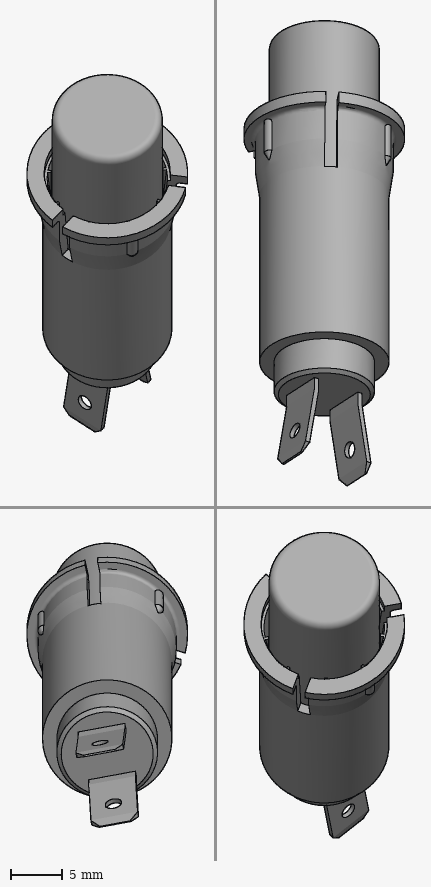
import cadquery as cq
import math

TOP_Z = 46.8
FLANGE_TOP_Z = 37.45
COLLAR_BOTTOM_Z = 32.8
BARREL_TOP_Z = 30.0
BARREL_BOTTOM_Z = 11.8
BASE_BOTTOM_Z = 8.25

CAP_DIAMETER = 10.7
CAP_RADIUS = CAP_DIAMETER / 2
CAP_EDGE_FILLET = 0.7

BARREL_DIAMETER = 12.6
BARREL_RADIUS = BARREL_DIAMETER / 2
COLLAR_DIAMETER = 13.45
COLLAR_RADIUS = COLLAR_DIAMETER / 2
FLANGE_RADIUS = 7.8
FLANGE_THICKNESS = 1.15
FLANGE_BOTTOM_Z = FLANGE_TOP_Z - FLANGE_THICKNESS
FLANGE_FILLET = 0.37
MOUTH_RADIUS = 6.15
MOUTH_DEPTH = 0.95
LEDGE_Z = FLANGE_TOP_Z - MOUTH_DEPTH
BORE_TOP_RADIUS = 5.85

PETAL_COUNT = 3
SLOT_WIDTH = 1.25
FIRST_SLOT_ANGLE = 30
FIRST_OUTER_RIB_ANGLE = 90
OUTER_RIB_RADIUS = 0.6
OUTER_RIB_REACH = 7.05
OUTER_RIB_POINT_HEIGHT = 1.05

INNER_RIB_COUNT = 9
FIRST_INNER_RIB_ANGLE = 90
INNER_RIB_WIDTH = 0.3
INNER_RIB_RADIUS = 5.5

BASE_DIAMETER = 9.8
BASE_RADIUS = BASE_DIAMETER / 2
BASE_CHAMFER_HEIGHT = 0.35
BASE_CHAMFER_WIDTH = 0.4

TERMINAL_INNER_Y = 2.35
TERMINAL_THICKNESS = 0.5
TERMINAL_OUTER_Y = TERMINAL_INNER_Y + TERMINAL_THICKNESS
TERMINAL_WIDTH = 4.65
TERMINAL_TIP_WIDTH = 3.0
TERMINAL_TIP_THICKNESS = 0.15
TERMINAL_TIP_HEIGHT = 0.95
TERMINAL_END_RISE = 0.1
TERMINAL_BEND_Z = 7.0
TERMINAL_SPLAY_ANGLE = 10
TERMINAL_HOLE_DIAMETER = 1.6
TERMINAL_HOLE_Z = 3.15


def angles(first, count):
    """Evenly spaced angles around the Z axis, in degrees."""
    return [first + 360 / count * i for i in range(count)]


def around_z(body, angle):
    return body.rotate((0, 0, 0), (0, 0, 1), angle)


def make_cap():
    height = TOP_Z - BARREL_TOP_Z
    cylinder = cq.Workplane("XY", origin=(0, 0, BARREL_TOP_Z)).circle(CAP_RADIUS).extrude(height)
    return cylinder.faces(">Z").edges().fillet(CAP_EDGE_FILLET)


def make_housing_shell():
    """Solid barrel that widens into a hollow, flanged collar."""
    fillet_radius = COLLAR_RADIUS + FLANGE_FILLET
    fillet_bottom_z = FLANGE_BOTTOM_Z - FLANGE_FILLET
    fillet_mid = (
        fillet_radius - FLANGE_FILLET * math.sqrt(0.5),
        fillet_bottom_z + FLANGE_FILLET * math.sqrt(0.5),
    )
    profile = (
        cq.Workplane("XZ")
        .moveTo(0, BARREL_BOTTOM_Z)
        .lineTo(BARREL_RADIUS, BARREL_BOTTOM_Z)
        .lineTo(BARREL_RADIUS, BARREL_TOP_Z)
        .lineTo(COLLAR_RADIUS, COLLAR_BOTTOM_Z)
        .lineTo(COLLAR_RADIUS, fillet_bottom_z)
        .threePointArc(fillet_mid, (fillet_radius, FLANGE_BOTTOM_Z))
        .lineTo(FLANGE_RADIUS, FLANGE_BOTTOM_Z)
        .lineTo(FLANGE_RADIUS, FLANGE_TOP_Z)
        .lineTo(MOUTH_RADIUS, FLANGE_TOP_Z)
        .lineTo(MOUTH_RADIUS, LEDGE_Z)
        .lineTo(BORE_TOP_RADIUS, LEDGE_Z)
        .lineTo(CAP_RADIUS, BARREL_TOP_Z)
        .lineTo(0, BARREL_TOP_Z)
        .close()
    )
    return profile.revolve(360, (0, 0, 0), (0, 1, 0))


def make_outer_rib():
    """Upright round rod half sunk into the +X side of the collar, with a pointed lower end."""
    axis_x = OUTER_RIB_REACH - OUTER_RIB_RADIUS
    profile = (
        cq.Workplane("XZ", origin=(axis_x, 0, 0))
        .moveTo(0, COLLAR_BOTTOM_Z - OUTER_RIB_POINT_HEIGHT)
        .lineTo(OUTER_RIB_RADIUS, COLLAR_BOTTOM_Z)
        .lineTo(OUTER_RIB_RADIUS, FLANGE_BOTTOM_Z)
        .lineTo(0, FLANGE_BOTTOM_Z)
        .close()
    )
    return profile.revolve(360, (0, 0, 0), (0, 1, 0))


def make_inner_rib():
    """Thin upright rib along +X, reaching from the bore wall towards the cap."""
    height = LEDGE_Z - BARREL_TOP_Z
    length = MOUTH_RADIUS - INNER_RIB_RADIUS
    return cq.Workplane("XY", origin=(INNER_RIB_RADIUS, 0, BARREL_TOP_Z)).box(
        length, INNER_RIB_WIDTH, height, centered=(False, True, False)
    )


def make_slot_cutter():
    height = FLANGE_TOP_Z - BARREL_TOP_Z
    return cq.Workplane("XY", origin=(0, 0, BARREL_TOP_Z)).box(
        FLANGE_RADIUS, SLOT_WIDTH, height, centered=(False, True, False)
    )


def make_housing():
    housing = make_housing_shell()
    for angle in angles(FIRST_OUTER_RIB_ANGLE, PETAL_COUNT):
        housing = housing.union(around_z(make_outer_rib(), angle))
    for angle in angles(FIRST_INNER_RIB_ANGLE, INNER_RIB_COUNT):
        housing = housing.union(around_z(make_inner_rib(), angle))
    for angle in angles(FIRST_SLOT_ANGLE, PETAL_COUNT):
        housing = housing.cut(around_z(make_slot_cutter(), angle))
    return housing


def make_base():
    height = BARREL_BOTTOM_Z - BASE_BOTTOM_Z
    cylinder = cq.Workplane("XY", origin=(0, 0, BASE_BOTTOM_Z)).circle(BASE_RADIUS).extrude(height)
    bottom_edge = cylinder.faces("<Z").edges()
    return bottom_edge.chamfer(BASE_CHAMFER_HEIGHT, BASE_CHAMFER_WIDTH)


def make_terminal():
    """Blade on the +Y side: straight below the base, then splayed outwards to a beveled tip."""
    slope = math.tan(math.radians(TERMINAL_SPLAY_ANGLE))
    splay = slope * (TERMINAL_BEND_Z - TERMINAL_TIP_HEIGHT)
    tip_outer_y = TERMINAL_OUTER_Y + splay
    side = (
        cq.Workplane("YZ")
        .moveTo(TERMINAL_INNER_Y, BASE_BOTTOM_Z)
        .lineTo(TERMINAL_OUTER_Y, BASE_BOTTOM_Z)
        .lineTo(TERMINAL_OUTER_Y, TERMINAL_BEND_Z)
        .lineTo(tip_outer_y, TERMINAL_TIP_HEIGHT)
        .lineTo(tip_outer_y, TERMINAL_END_RISE)
        .lineTo(tip_outer_y - TERMINAL_TIP_THICKNESS, 0)
        .lineTo(TERMINAL_INNER_Y + splay, TERMINAL_TIP_HEIGHT)
        .lineTo(TERMINAL_INNER_Y, TERMINAL_BEND_Z)
        .close()
        .extrude(TERMINAL_WIDTH / 2, both=True)
    )
    half_width = TERMINAL_WIDTH / 2
    half_tip = TERMINAL_TIP_WIDTH / 2
    outline = (
        cq.Workplane("XZ")
        .polyline([
            (-half_width, BASE_BOTTOM_Z),
            (half_width, BASE_BOTTOM_Z),
            (half_width, TERMINAL_TIP_HEIGHT),
            (half_tip, 0),
            (-half_tip, 0),
            (-half_width, TERMINAL_TIP_HEIGHT),
        ])
        .close()
        .extrude(-FLANGE_RADIUS)
    )
    hole_y = TERMINAL_INNER_Y + TERMINAL_THICKNESS / 2 + slope * (TERMINAL_BEND_Z - TERMINAL_HOLE_Z)
    hole = (
        cq.Workplane("XZ")
        .circle(TERMINAL_HOLE_DIAMETER / 2)
        .extrude(TERMINAL_WIDTH / 2, both=True)
        .rotate((0, 0, 0), (1, 0, 0), TERMINAL_SPLAY_ANGLE)
        .translate((0, hole_y, TERMINAL_HOLE_Z))
    )
    return side.intersect(outline).cut(hole)


cap = make_cap()
housing = make_housing()
base = make_base()
terminals = [around_z(make_terminal(), angle) for angle in angles(0, 2)]

result = cq.Compound.makeCompound(
    [cap.val(), housing.val(), base.val(), *[terminal.val() for terminal in terminals]]
)